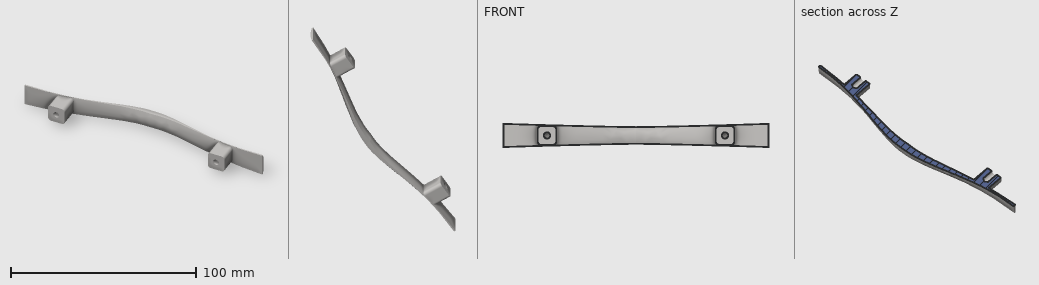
import cadquery as cq
import math


length = 143.0
half_length = length / 2
end_half_width = 6.315
middle_half_width = 4.55
width_curve = 1.3

bar_sections = (
    (half_length, 8.55, 8.6, 9.5, 10.3),
    (54.0, 9.6, 9.75, 10.25, 11.2),
    (36.0, 12.05, 12.7, 13.2, 14.85),
    (18.0, 15.45, 16.5, 18.05, 19.35),
    (0.0, 16.8, 17.9, 20.85, 21.44),
)

post_spacing = 96.0
post_size = 10.0
post_corner_radius = 1.75
post_top_outward = 10.1
post_top_inward = 11.5

hole_diameter = 3.4
hole_depth = 7.0
drill_point_angle = 118.0


def half_width(distance):
    """Half of the bar width at a distance from the middle."""
    widening = end_half_width - middle_half_width
    return middle_half_width + widening * (distance / half_length) ** width_curve


def bar_section(distance, inner_crown, inner_edge, outer_edge, outer_crown):
    """Closed section with two flat sides and crowned inner and outer faces."""
    side = half_width(distance)
    return (
        cq.Workplane("YZ", origin=(-distance, 0, 0))
        .moveTo(inner_edge, -side)
        .lineTo(outer_edge, -side)
        .threePointArc((outer_crown, 0), (outer_edge, side))
        .lineTo(inner_edge, side)
        .threePointArc((inner_crown, 0), (inner_edge, -side))
        .close()
        .wires()
        .val()
    )


def make_bar():
    """Left half lofted through its sections and mirrored about the middle."""
    wires = [bar_section(*section) for section in bar_sections]
    left_half = cq.Workplane(obj=cq.Solid.makeLoft(wires))
    return left_half.union(left_half.mirror("YZ"), clean=False)


def make_left_post():
    """Square post with rounded corners, its top slanted to follow the bar."""
    outward_x = -(post_spacing + post_size) / 2
    inward_x = outward_x + post_size
    return (
        cq.Workplane("XY", origin=(0, 0, -post_size / 2))
        .moveTo(outward_x, 0)
        .lineTo(inward_x, 0)
        .lineTo(inward_x, post_top_inward)
        .lineTo(outward_x, post_top_outward)
        .close()
        .extrude(post_size)
        .edges("|Y")
        .fillet(post_corner_radius)
    )


def make_left_hole():
    """Drilled hole with a conical bottom, entering the post from Y = 0."""
    radius = hole_diameter / 2
    point_depth = radius / math.tan(math.radians(drill_point_angle / 2))
    return (
        cq.Workplane("XY", origin=(-post_spacing / 2, 0, 0))
        .moveTo(0, 0)
        .lineTo(radius, 0)
        .lineTo(radius, hole_depth)
        .lineTo(0, hole_depth + point_depth)
        .close()
        .revolve(360, (0, 0, 0), (0, 1, 0))
    )


left_post = make_left_post().cut(make_left_hole())
right_post = left_post.mirror("YZ")
result = make_bar().union(left_post, clean=False).union(right_post, clean=False)